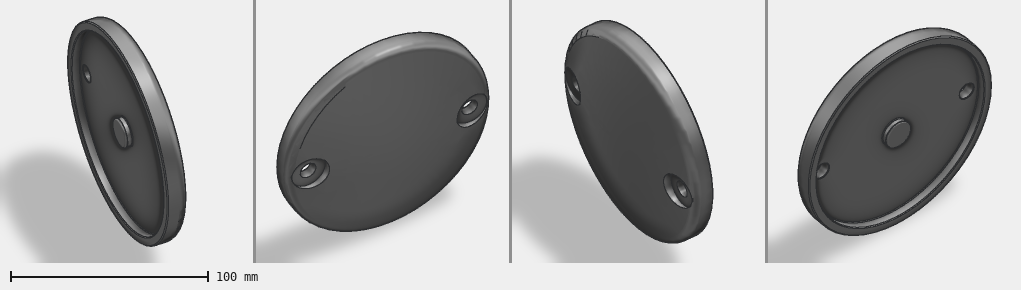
import cadquery as cq
import math

outer_radius = 59.5
total_height = 18.0
rim_chamfer = 0.6
band_height = 7.0
shoulder_radius = 5.0

recess_radius = 54.5
recess_depth = 5.0
recess_chamfer = 0.5

boss_head_radius = 8.1
boss_neck_radius = 7.7
boss_top = 1.0
boss_fillet = 1.1
boss_root_chamfer = 0.5

hole_offset = 47.0
hole_diameter = 9.0
hole_chamfer = 0.4
counterbore_diameter = 19.8
counterbore_floor = 10.7


def cylinder(radius, start, end, x=0.0):
    """Cylinder along Y from start to end, centred on X = x."""
    workplane = cq.Workplane("XZ", origin=(x, start, 0))
    return workplane.circle(radius).extrude(start - end)


def domed_disc():
    """Revolved disc with a straight band, rounded shoulder and shallow dome."""
    shoulder_centre = outer_radius - shoulder_radius
    drop = total_height - band_height
    dome_radius = (shoulder_centre**2 + drop**2 - shoulder_radius**2) / (2 * (drop - shoulder_radius))

    def dome_point(angle):
        """Point on the dome at an angle from the disc axis."""
        return (
            dome_radius * math.sin(angle),
            total_height - dome_radius * (1 - math.cos(angle)),
        )

    edge_angle = math.asin(shoulder_centre / (dome_radius - shoulder_radius))
    profile = (
        cq.Workplane("XY")
        .lineTo(outer_radius - rim_chamfer, 0)
        .lineTo(outer_radius, rim_chamfer)
        .lineTo(outer_radius, band_height)
        .tangentArcPoint(dome_point(edge_angle), relative=False)
        .threePointArc(dome_point(edge_angle / 2), (0, total_height))
        .close()
    )
    return profile.revolve(360, (0, 0), (0, 1))


def cone(start_radius, end_radius, start, length, x=0.0):
    """Truncated cone along +Y from start, centred on X = x."""
    solid = cq.Solid.makeCone(
        start_radius, end_radius, length, cq.Vector(x, start, 0), cq.Vector(0, 1, 0)
    )
    return cq.Workplane(solid)


def recess():
    """Round recess with a chamfered mouth and a bevelled floor corner."""
    pocket = cylinder(recess_radius, 0, recess_depth).faces(">Y").chamfer(recess_chamfer)
    mouth = cone(recess_radius + recess_chamfer, recess_radius, 0, recess_chamfer)
    return pocket.union(mouth)


def boss():
    """Central boss: a round-edged head on a slightly narrower neck with a bevelled root."""
    neck = cylinder(boss_neck_radius, boss_top + boss_fillet, recess_depth)
    head = cylinder(boss_head_radius, boss_top, recess_depth).faces("<Y").edges().fillet(boss_fillet)
    head = head.intersect(cylinder(boss_head_radius, boss_top, boss_top + boss_fillet))
    root_start = recess_depth - boss_root_chamfer
    root_radius = boss_neck_radius + boss_root_chamfer
    root = cone(boss_neck_radius, root_radius, root_start, boss_root_chamfer)
    return head.union(neck).union(root)


def screw_hole(x):
    """Through hole, counterbored from the dome and chamfered at the recess floor."""
    bore_radius = hole_diameter / 2
    bore = cylinder(bore_radius, recess_depth, total_height, x)
    chamfer = cone(bore_radius + hole_chamfer, bore_radius, recess_depth, hole_chamfer, x)
    counterbore = cylinder(counterbore_diameter / 2, counterbore_floor, total_height, x)
    return bore.union(chamfer).union(counterbore)


result = domed_disc().cut(recess()).union(boss())
for side in (-1, 1):
    result = result.cut(screw_hole(side * hole_offset))